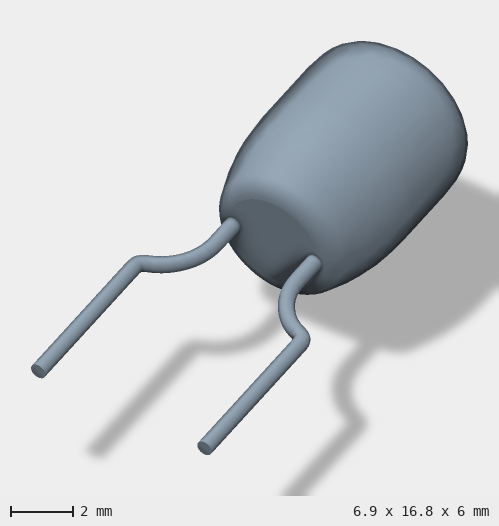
import cadquery as cq
import math

BODY_LENGTH = 7.80
BODY_RADIUS = 3.0
BASE_RADIUS = 1.75
SHOULDER_RADIUS = 2.4
SHOULDER_Y = 0.52
BAND_START_Y = 3.46
BAND_END_Y = 5.93
BASE_ROUNDING_SAG = 0.13

DOME_SHOULDER = (2.46, 0.37)
DOME_CROWN = (1.4, 0.04)

LEAD_DIAMETER = 0.55
LEAD_PITCH = 6.35
ROOT_PITCH = 3.1
LEAD_LENGTH = 8.96
ROOT_LENGTH = 0.95
LEAD_EMBED = 0.5
BEND_DROP = 2.42
ROOT_BEND_POINT = (2.1, -2.45)
TIP_BEND_POINT = (2.75, -2.93)


def make_body():
    """Revolve the barrel profile about the Y axis."""
    chord_x = SHOULDER_RADIUS - BASE_RADIUS
    chord = math.hypot(chord_x, SHOULDER_Y)
    rounding_mid = (
        (BASE_RADIUS + SHOULDER_RADIUS) / 2 + BASE_ROUNDING_SAG * SHOULDER_Y / chord,
        SHOULDER_Y / 2 - BASE_ROUNDING_SAG * chord_x / chord,
    )
    profile = (
        cq.Workplane("XY")
        .lineTo(BASE_RADIUS, 0)
        .threePointArc(rounding_mid, (SHOULDER_RADIUS, SHOULDER_Y))
    )
    rise = BAND_START_Y - SHOULDER_Y
    step = BODY_RADIUS - SHOULDER_RADIUS
    flank_radius = (rise**2 + step**2) / (2 * step)
    half_angle = math.atan2(step, rise)
    flank_mid = (
        BODY_RADIUS - flank_radius * (1 - math.cos(half_angle)),
        BAND_START_Y - flank_radius * math.sin(half_angle),
    )
    dome_points = [(radius, BODY_LENGTH - depth) for radius, depth in (DOME_SHOULDER, DOME_CROWN)]
    profile = (
        profile.threePointArc(flank_mid, (BODY_RADIUS, BAND_START_Y))
        .lineTo(BODY_RADIUS, BAND_END_Y)
        .spline(
            dome_points + [(0, BODY_LENGTH)],
            tangents=[(0, 1), (-1, 0)],
            includeCurrent=True,
        )
        .close()
    )
    return profile.revolve(360, (0, 0), (0, 1))


def make_lead():
    """Sweep the +X wire along its double bend."""
    root_x = ROOT_PITCH / 2
    tip_x = LEAD_PITCH / 2
    bend_end_y = -ROOT_LENGTH - BEND_DROP
    path = (
        cq.Workplane("XY")
        .moveTo(root_x, LEAD_EMBED)
        .lineTo(root_x, -ROOT_LENGTH)
        .spline(
            [ROOT_BEND_POINT, TIP_BEND_POINT, (tip_x, bend_end_y)],
            tangents=[(0, -1), (0, -1)],
            includeCurrent=True,
        )
        .lineTo(tip_x, -LEAD_LENGTH)
    )
    return (
        cq.Workplane("XZ", origin=(root_x, LEAD_EMBED, 0))
        .circle(LEAD_DIAMETER / 2)
        .sweep(path)
    )


lead = make_lead()
result = make_body().union(lead).union(lead.mirror("YZ"))